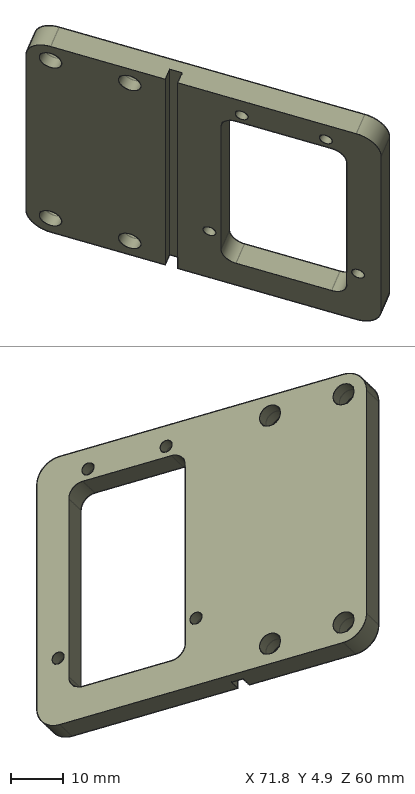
import cadquery as cq

width = 71.8
thickness = 4.9
height = 60.0
corner_radius = 5.0

groove_width = 2.5
groove_depth = 2.5
groove_x = -6.45

window_x = 16.2
window_width = 25.35
window_height = 45.8
window_radius = 3.0

large_hole_diameter = 4.5
large_hole_center_x = -22.9
large_hole_spacing_x = 16.0
large_hole_spacing_z = 51.0

small_hole_diameter = 2.6
upper_pair_spacing = 17.0
upper_pair_z = 25.35
lower_pair_spacing = 30.0
lower_pair_z = -15.0


def upright_block(x_size, z_size, radius):
    """Block through the full thickness with rounded corners."""
    return cq.Workplane("XY").box(x_size, thickness, z_size).edges("|Y").fillet(radius)


def drill(body, points, diameter):
    """Cut through holes along Y at the given (x, z) points."""
    pins = (
        cq.Workplane("XZ")
        .pushPoints(points)
        .circle(diameter / 2)
        .extrude(thickness, both=True)
    )
    return body.cut(pins)


def hole_pair(center_x, spacing, z):
    return [(center_x + side * spacing / 2, z) for side in (-1, 1)]


plate = upright_block(width, height, corner_radius)

window = upright_block(window_width, window_height, window_radius)
plate = plate.cut(window.translate((window_x, 0, 0)))

groove = cq.Workplane("XY").box(groove_width, groove_depth, height)
groove_y = (groove_depth - thickness) / 2
plate = plate.cut(groove.translate((groove_x, groove_y, 0)))

large_holes = []
for side in (-1, 1):
    row_z = side * large_hole_spacing_z / 2
    large_holes += hole_pair(large_hole_center_x, large_hole_spacing_x, row_z)
plate = drill(plate, large_holes, large_hole_diameter)

small_holes = hole_pair(window_x, upper_pair_spacing, upper_pair_z)
small_holes += hole_pair(window_x, lower_pair_spacing, lower_pair_z)
plate = drill(plate, small_holes, small_hole_diameter)

result = plate